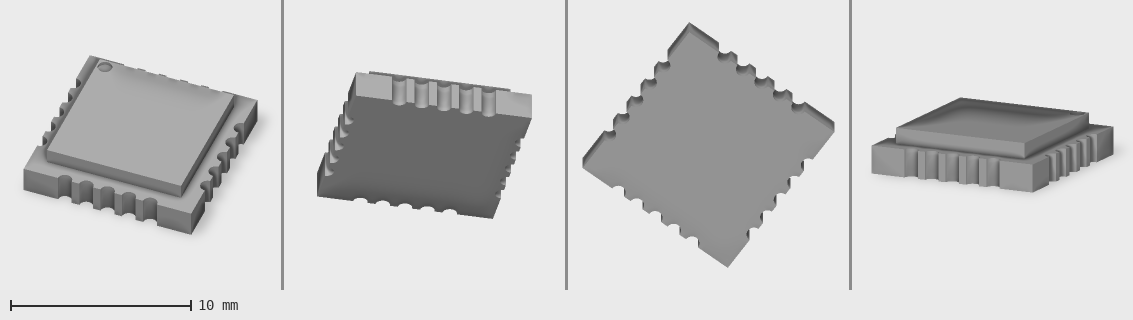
import cadquery as cq

base_side = 10.0
base_height = 1.6
notch_radius = 0.41
notch_pitch = 1.27
notches_per_side = 5

lid_side = 8.0
lid_height = 0.9

mark_radius = 0.41
mark_inset = 0.5
mark_depth = 0.2


def make_base():
    """Square plate with a centred row of half-round notches in each side."""
    base = cq.Workplane("XY").box(base_side, base_side, base_height, centered=(True, True, False))
    edge = base_side / 2
    middle = (notches_per_side - 1) / 2
    centres = []
    for index in range(notches_per_side):
        along = (index - middle) * notch_pitch
        centres += [(along, -edge), (along, edge), (-edge, along), (edge, along)]
    notches = cq.Workplane("XY").pushPoints(centres).circle(notch_radius).extrude(base_height)
    return base.cut(notches)


def make_lid():
    """Square lid with the shallow round mark in its -X, +Y corner."""
    lid = (
        cq.Workplane("XY", origin=(0, 0, base_height))
        .box(lid_side, lid_side, lid_height, centered=(True, True, False))
    )
    mark_offset = lid_side / 2 - mark_inset
    mark_floor = base_height + lid_height - mark_depth
    mark = (
        cq.Workplane("XY", origin=(-mark_offset, mark_offset, mark_floor))
        .circle(mark_radius)
        .extrude(mark_depth)
    )
    return lid.cut(mark)


result = make_base().union(make_lid())